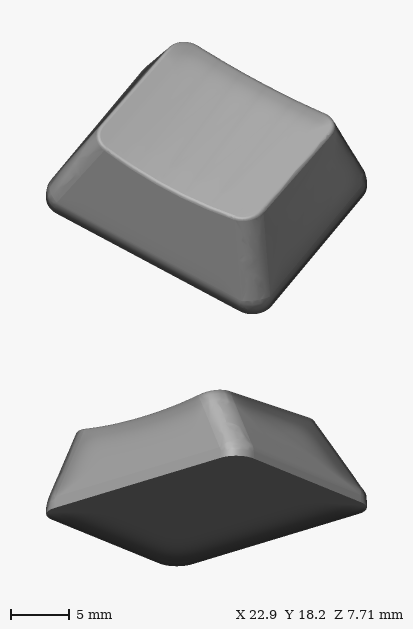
import math

import cadquery as cq

BASE_LENGTH = 22.92
BASE_WIDTH = 18.16
SKIRT_HEIGHT = 1.0

RIM_LENGTH = 16.78
RIM_FRONT_HEIGHT = 7.7

FRONT_LEAN = 27.6
BACK_LEAN = 5.1

DISH_RADIUS = 44.0
DISH_TILT = 3.0
DISH_HEIGHT = 6.74

CORNER_RADIUS = 2.0
SKIRT_BLEND_RADIUS = 1.5
RIM_RADIUS = 0.35

CREASE_BAND = SKIRT_HEIGHT / 10

WALL_OVERRUN = 1.25
DISH_CUTTER_LENGTH = 2 * BASE_WIDTH


def tan_deg(angle):
    """Tangent of an angle in degrees."""
    return math.tan(math.radians(angle))


def rectangle_wire(half_length, front, back):
    """Closed four-cornered outline; front and back are the (y, z) of those two edges."""
    corners = [(-half_length, *front), (half_length, *front), (half_length, *back), (-half_length, *back)]
    return cq.Wire.makePolygon([cq.Vector(*corner) for corner in corners], close=True)


def make_taper():
    """Leaning walls from the skirt up through the tilted rim, with straight ruled sides."""
    front_rise = RIM_FRONT_HEIGHT - SKIRT_HEIGHT
    rim_front = -BASE_WIDTH / 2 + front_rise * tan_deg(FRONT_LEAN)
    tilt = tan_deg(DISH_TILT)
    back_rise = (front_rise - tilt * (BASE_WIDTH / 2 - rim_front)) / (1 - tilt * tan_deg(BACK_LEAN))

    front_reach = WALL_OVERRUN * front_rise
    back_reach = WALL_OVERRUN * back_rise
    side_inset = WALL_OVERRUN * (BASE_LENGTH - RIM_LENGTH) / 2
    base = rectangle_wire(BASE_LENGTH / 2, (-BASE_WIDTH / 2, SKIRT_HEIGHT), (BASE_WIDTH / 2, SKIRT_HEIGHT))
    top = rectangle_wire(
        BASE_LENGTH / 2 - side_inset,
        (-BASE_WIDTH / 2 + front_reach * tan_deg(FRONT_LEAN), SKIRT_HEIGHT + front_reach),
        (BASE_WIDTH / 2 - back_reach * tan_deg(BACK_LEAN), SKIRT_HEIGHT + back_reach),
    )
    return cq.Workplane(cq.Solid.makeLoft([base, top], ruled=True))


def make_blank():
    """Vertical skirt carrying the four-sided taper, all edges sharp."""
    skirt = cq.Workplane("XY").box(BASE_LENGTH, BASE_WIDTH, SKIRT_HEIGHT, centered=(True, True, False))
    return skirt.union(make_taper())


def edges_between(body, low, high):
    """Edges whose centres lie between two heights."""
    box = cq.selectors.BoxSelector((-BASE_LENGTH, -BASE_WIDTH, low), (BASE_LENGTH, BASE_WIDTH, high))
    return body.edges(box).vals()


def round_walls(blank):
    """Round the corners and the crease above the skirt together.

    The two radii meet at each corner, so they are applied in one fillet operation.
    The back wall is so nearly upright that its crease stays as a plain line.
    """
    crease_low = SKIRT_HEIGHT - CREASE_BAND
    crease_high = SKIRT_HEIGHT + CREASE_BAND
    crease_edges = edges_between(blank, crease_low, crease_high)
    skirt_corners = edges_between(blank, CREASE_BAND, crease_low)
    wall_corners = edges_between(blank, crease_high, RIM_FRONT_HEIGHT)

    fillet = cq.occ_impl.shapes.BRepFilletAPI_MakeFillet(blank.val().wrapped)
    for edge in skirt_corners + wall_corners:
        fillet.Add(CORNER_RADIUS, edge.wrapped)
    for edge in crease_edges:
        fillet.Add(SKIRT_BLEND_RADIUS, edge.wrapped)
    return cq.Workplane(cq.Shape.cast(fillet.Shape()))


def cut_dish(body):
    """Hollow the top with a tilted cylinder and round the rim it leaves."""
    cutter = (
        cq.Workplane("XZ", origin=(0, 0, DISH_RADIUS))
        .circle(DISH_RADIUS)
        .extrude(DISH_CUTTER_LENGTH / 2, both=True)
        .rotate((0, 0, 0), (1, 0, 0), -DISH_TILT)
        .translate((0, 0, DISH_HEIGHT))
    )
    dished = body.cut(cutter)
    dish_face = max(dished.faces("%CYLINDER").vals(), key=lambda face: face.Area())
    return dished.newObject([dish_face]).edges().fillet(RIM_RADIUS)


result = cut_dish(round_walls(make_blank())).solids()